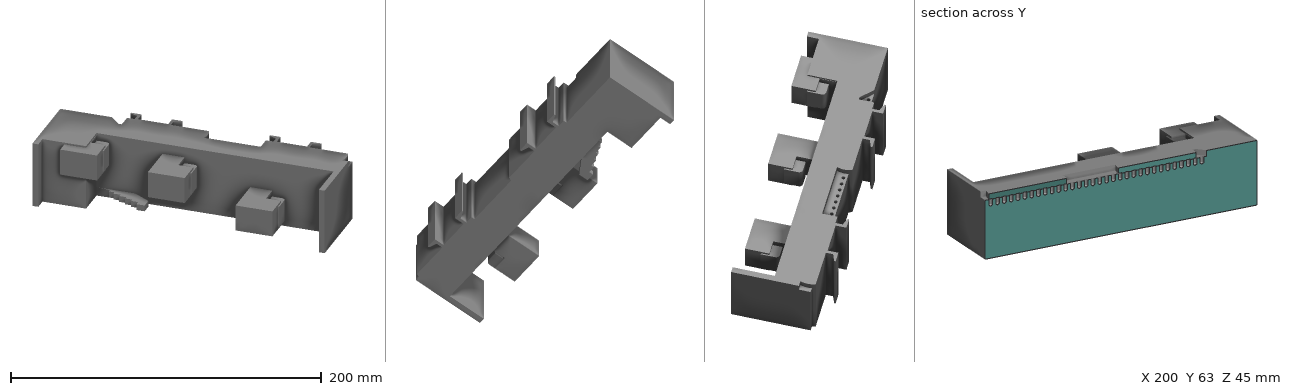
import cadquery as cq

length = 200.0
height = 45.0
back_y = 52.8
wall_front_y = 28.0
side_wall = 4.0
head_length = 33.8
head_front_y = 8.0

pocket_floor_z = 41.0
pocket_front_y = 45.0
pocket_depth = back_y - pocket_front_y
pocket_left_x = 43.0

hole_diameter = 2.5
hole_depth = 4.0
hole_tip_depth = 0.8
hole_pitch = 5.0
hole_count = 32
hole_first_x = 40.5
hole_y = 50.5

rail_width = 1.8
rail_height = 1.8

block_left_x = 19.0
block_pitch = 60.0
block_width = 25.2
block_height = 18.0
block_tops = [43.8, 37.8, 24.0]
stem_width = 15.0
shelf_y = 16.2
tongue_gap = 1.8
tongue_overhang = 0.8
tongue_front_y = 10.5
tongue_back_y = 22.8
tongue_inset_z = 1.5
tongue_corner_radius = 2.5

clip_left_x = 44.8
clip_pitch = 95.0
clip_count = 2
clip_length = 56.2
clip_bulge = 1.0
clip_back_y = 55.2
clip_seat_y = 55.8
hook_back_y = 63.0
hook_span = 35.2
hook_reach = 5.2
hook_stem = 2.0
hook_tip = 1.0
hook_root_y = 60.0

lever_bottom_z = 1.8
lever_top_z = 6.0
lever_shoulder_x = 43.2
lever_shoulder_y = 27.0
lever_tread_lengths = [3.8] + [4.8] * 4
lever_first_tread_y = 25.0
lever_step_drop = 2.0
lever_end_x = 71.8
lever_end_front_y = 13.8
lever_end_back_y = 20.8
lever_back_x = 60.2


def box(x0, x1, y0, y1, z0, z1):
    """Box between the given limits."""
    return cq.Workplane("XY").box(x1 - x0, y1 - y0, z1 - z0, centered=False).translate((x0, y0, z0))


def prism(points, z0, z1):
    """Closed polygon in plan, extruded from z0 to z1."""
    return cq.Workplane("XY").workplane(offset=z0).polyline(points).close().extrude(z1 - z0)


def make_block(left_x, top_z):
    """L-shaped block joined to the wall, with the tongue in its notch."""
    bottom_z = top_z - block_height
    right_x = left_x + block_width
    stem_right_x = left_x + stem_width
    shelf = box(left_x, right_x, 0, shelf_y, bottom_z, top_z)
    stem = box(left_x, stem_right_x, 0, wall_front_y, bottom_z, top_z)
    tongue = box(
        stem_right_x + tongue_gap, right_x + tongue_overhang,
        tongue_front_y, tongue_back_y,
        bottom_z + tongue_inset_z, top_z - tongue_inset_z,
    )
    tongue = tongue.edges("|Z and >X and >Y").fillet(tongue_corner_radius)
    return shelf.union(stem).union(tongue)


def make_rail():
    """Straight bar along the front of the pocket."""
    return box(
        pocket_left_x, length,
        pocket_front_y, pocket_front_y + rail_width,
        pocket_floor_z - rail_height, pocket_floor_z,
    )


def make_drilled_hole():
    """Cutter for the first hole: a cylinder that ends in a cone."""
    radius = hole_diameter / 2
    profile = [(0, 0), (radius, 0), (radius, -hole_depth), (0, -hole_depth - hole_tip_depth)]
    cutter = cq.Workplane("XZ").polyline(profile).close().revolve(360, (0, 0), (0, 1))
    return cutter.translate((hole_first_x, hole_y, pocket_floor_z))


def make_housing():
    """Head, long wall, two end walls and blocks, less the pocket and its details."""
    outline = [
        (0, 0),
        (side_wall, 0),
        (side_wall, head_front_y),
        (head_length, head_front_y),
        (head_length, wall_front_y),
        (length - side_wall, wall_front_y),
        (length - side_wall, 0),
        (length, 0),
        (length, back_y),
        (0, back_y),
    ]
    body = prism(outline, 0, height)
    for number, top_z in enumerate(block_tops):
        body = body.union(make_block(block_left_x + number * block_pitch, top_z))

    pocket_outline = [
        (pocket_left_x - pocket_depth, back_y),
        (pocket_left_x, pocket_front_y),
        (length, pocket_front_y),
        (length, back_y),
    ]
    body = body.cut(prism(pocket_outline, pocket_floor_z, height))
    body = body.cut(make_rail())

    hole = make_drilled_hole()
    for number in range(hole_count):
        body = body.cut(hole.translate((number * hole_pitch, 0, 0)))
    return body


def make_clip(left_x):
    """Plate with two outward hooks; its top flange rests on the pocket floor."""
    right_x = left_x + clip_length
    middle_y = (pocket_front_y + clip_back_y) / 2
    plate = (
        cq.Workplane("XY")
        .moveTo(left_x, pocket_front_y)
        .lineTo(right_x, pocket_front_y)
        .threePointArc((right_x + clip_bulge, middle_y), (right_x, clip_back_y))
        .lineTo(left_x, clip_back_y)
        .close()
        .extrude(height)
    )
    hook_right_x = left_x + hook_span
    stem_left_x = left_x + hook_reach
    stem_right_x = hook_right_x - hook_reach
    hooks = prism(
        [
            (stem_left_x, middle_y),
            (stem_left_x, hook_root_y),
            (left_x, hook_back_y - hook_tip),
            (left_x, hook_back_y),
            (stem_left_x + hook_stem, hook_back_y),
            (stem_left_x + hook_stem, clip_seat_y),
            (stem_right_x - hook_stem, clip_seat_y),
            (stem_right_x - hook_stem, hook_back_y),
            (hook_right_x, hook_back_y),
            (hook_right_x, hook_back_y - hook_tip),
            (stem_right_x, hook_root_y),
            (stem_right_x, middle_y),
        ],
        0, height,
    )
    floor_room = box(0, length, 0, back_y, 0, pocket_floor_z)
    return plate.union(hooks).cut(floor_room)


def make_lever():
    """Flat lever with a stepped front edge, set against the front of the wall."""
    outline = [(head_length, wall_front_y), (lever_shoulder_x, lever_shoulder_y)]
    x = lever_shoulder_x
    for number, tread_length in enumerate(lever_tread_lengths):
        y = lever_first_tread_y - number * lever_step_drop
        outline += [(x, y), (x + tread_length, y)]
        x += tread_length
    outline += [
        (x, lever_end_front_y),
        (lever_end_x, lever_end_front_y),
        (lever_end_x, lever_end_back_y),
        (lever_back_x, wall_front_y),
    ]
    return prism(outline, lever_bottom_z, lever_top_z)


housing = make_housing()
rail = make_rail()
lever = make_lever()
clips = [make_clip(clip_left_x + number * clip_pitch) for number in range(clip_count)]

result = cq.Compound.makeCompound([
    housing.val(),
    rail.val(),
    lever.val(),
    *[clip.val() for clip in clips],
])